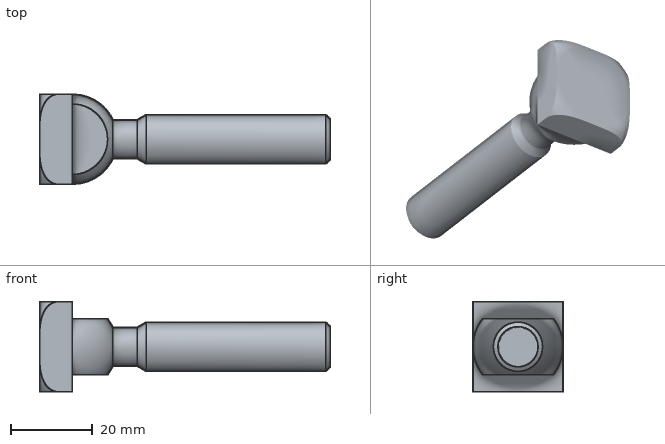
import cadquery as cq
import math

head_side = 22.0
head_thickness = 8.0

ball_radius = head_side / 2
ball_thickness = 13.7

total_length = 71.0
shank_diameter = 12.0
shank_length = 45.0
neck_diameter = 9.5
shoulder_angle = 30
end_chamfer = 1.1

shank_radius = shank_diameter / 2
neck_radius = neck_diameter / 2
shank_start = total_length - shank_length
shoulder_length = (shank_radius - neck_radius) / math.tan(math.radians(shoulder_angle))


def make_head():
    """Square block whose corners are rounded towards the front face by a turned radius."""
    block = cq.Workplane("YZ").rect(head_side, head_side).extrude(head_thickness)
    corner_radius = head_side / math.sqrt(2)
    face_radius = head_side / 2
    rounding = corner_radius - face_radius
    arc_middle = (
        rounding * (1 - math.cos(math.pi / 4)),
        face_radius + rounding * math.sin(math.pi / 4),
    )
    envelope = (
        cq.Workplane("XY")
        .lineTo(0, face_radius)
        .threePointArc(arc_middle, (rounding, corner_radius))
        .lineTo(head_thickness, corner_radius)
        .lineTo(head_thickness, 0)
        .close()
        .revolve(360, (0, 0, 0), (1, 0, 0))
    )
    return block.intersect(envelope)


def make_half_ball():
    """Half ball with flats on its +Z and -Z sides."""
    ball = cq.Workplane("XY").sphere(ball_radius)
    keep = cq.Workplane("XY").box(
        ball_radius, 2 * ball_radius, ball_thickness, centered=(False, True, True)
    )
    return ball.intersect(keep).translate((head_thickness, 0, 0))


def make_shank():
    """Neck, conical shoulder and chamfered cylindrical shank, turned about X."""
    return (
        cq.Workplane("XY")
        .moveTo(head_thickness, 0)
        .lineTo(head_thickness, neck_radius)
        .lineTo(shank_start - shoulder_length, neck_radius)
        .lineTo(shank_start, shank_radius)
        .lineTo(total_length - end_chamfer, shank_radius)
        .lineTo(total_length, shank_radius - end_chamfer)
        .lineTo(total_length, 0)
        .close()
        .revolve(360, (0, 0, 0), (1, 0, 0))
    )


result = make_head().union(make_half_ball()).union(make_shank())